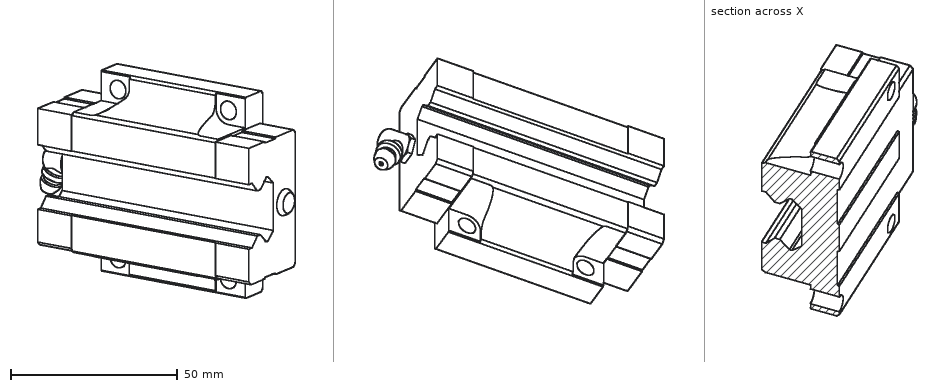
import cadquery as cq
import math


body_length = 52.2
flange_span = 63.0
flange_depth = 10.0
flange_chamfer = 0.9
flange_fillet_start = 27.7
flange_fillet_radius = 3.0
body_depth = 25.4
ramp_angle = 12.5
ramp_end_depth = 23.9
front_edge_height = 21.2

relief_depth = 0.5
relief_inner = 5.55
relief_outer = 19.0
relief_slope = 0.3

hole_diameter = 5.7
hole_spacing_x = 40.0
hole_spacing_z = 53.0
seat_depth = 9.5
seat_radius = 4.5

cap_length = 12.2
cap_height = 43.0
cap_back_depth = 0.5
cap_front_depth = 25.7
cap_back_chamfer = 1.1
cap_front_chamfer = 1.2
cap_groove_start = 11.2
cap_groove_end = 17.2
cap_groove_depth = 0.45
cap_groove_slope = 0.3

channel_floor_depth = 12.4
channel_floor_half = 7.4
channel_half = 10.1
race_groove_start = 15.5
race_groove_end = 16.3
race_ridge_start = 19.4
race_ridge_end = 21.1
race_ridge_half = 7.1
channel_lip_depth = 24.0

port_depth = 6.5
hex_across_flats = 8.0
hex_length = 1.8
hex_chamfer_angle = 30
elbow_diameter = 8.0
elbow_length = 9.5
elbow_rounding = 2.4
nipple_offset = 4.5
nipple_tilt = 25
collar_radius = 7.0 / 2
collar_end = 3.6
ring_radius = 7.9 / 2
ring_start = 4.0
ring_end = 5.7
neck_radius = 5.5 / 2
neck_start = 6.2
neck_end = 7.4
tip_radius = 6.6 / 2
tip_start = 7.8
tip_barrel_end = 8.4
tip_shoulder = 9.9
tip_shoulder_radius = 2.9
tip_end = 11.3
tip_end_radius = 2.15
grease_hole_diameter = 1.3
grease_hole_depth = 0.9
plug_height = 1.6
plug_base_radius = 8.2 / 2
plug_mid_height = 0.9
plug_mid_radius = 3.8
plug_top_radius = 6.3 / 2

total_length = body_length + 2 * cap_length
cap_face = total_length / 2


def section(start_x):
    """Sketch across the travel axis; local x is depth and local y points down (-Z)."""
    plane = cq.Plane(origin=(start_x, 0, 0), xDir=(0, -1, 0), normal=(1, 0, 0))
    return cq.Workplane(plane)


def make_body():
    """Upper half of the flanged body, joined with its mirror image about Z = 0."""
    flange_half = flange_span / 2
    slope = math.radians(ramp_angle)
    turn = math.pi / 2 - slope

    def fillet_point(angle):
        depth = flange_depth + flange_fillet_radius * (1 - math.cos(angle))
        return depth, -(flange_fillet_start - flange_fillet_radius * math.sin(angle))

    ramp_start_depth, ramp_start = fillet_point(turn)
    ramp_end = ramp_start + (ramp_end_depth - ramp_start_depth) * math.tan(slope)
    half = (
        section(-body_length / 2)
        .moveTo(0, 0)
        .lineTo(0, -relief_inner + relief_slope)
        .lineTo(relief_depth, -relief_inner)
        .lineTo(relief_depth, -relief_outer)
        .lineTo(0, -relief_outer - relief_slope)
        .lineTo(0, -flange_half + flange_chamfer)
        .lineTo(flange_chamfer, -flange_half)
        .lineTo(flange_depth - flange_chamfer, -flange_half)
        .lineTo(flange_depth, -flange_half + flange_chamfer)
        .lineTo(flange_depth, -flange_fillet_start)
        .threePointArc(fillet_point(turn / 2), (ramp_start_depth, ramp_start))
        .lineTo(ramp_end_depth, ramp_end)
        .lineTo(body_depth, -front_edge_height)
        .lineTo(body_depth, 0)
        .close()
        .extrude(body_length)
    )
    return half.union(half.mirror("XY"))


def make_seat_cutter(side_x, side_z):
    """Space in front of one bolt seat, open to the body end and to the flange edge."""
    hole_x = side_x * hole_spacing_x / 2
    hole_z = side_z * hole_spacing_z / 2
    reach = body_length / 2
    face = cq.Workplane("XZ", origin=(hole_x, -seat_depth, hole_z))

    def block(inner_x, inner_z):
        return (
            face.moveTo(side_x * inner_x, side_z * inner_z)
            .lineTo(side_x * reach, side_z * inner_z)
            .lineTo(side_x * reach, side_z * reach)
            .lineTo(side_x * inner_x, side_z * reach)
            .close()
            .extrude(body_depth)
        )

    corner = face.circle(seat_radius).extrude(body_depth)
    return block(0, -seat_radius).union(block(-seat_radius, 0)).union(corner)


def make_cap(start_x):
    """End cap with a shallow groove in its top and bottom faces."""
    top = cap_height / 2
    groove_top = top - cap_groove_depth

    def groove_side(sign):
        return [
            (cap_groove_start, sign * top),
            (cap_groove_start + cap_groove_slope, sign * groove_top),
            (cap_groove_end - cap_groove_slope, sign * groove_top),
            (cap_groove_end, sign * top),
        ]

    outline = [
        (cap_back_depth, -top + cap_back_chamfer),
        (cap_back_depth + cap_back_chamfer, -top),
        *groove_side(-1),
        (cap_front_depth, -top),
        (cap_front_depth, top - cap_front_chamfer),
        (cap_front_depth - cap_front_chamfer, top),
        *reversed(groove_side(1)),
        (cap_back_depth + cap_back_chamfer, top),
        (cap_back_depth, top - cap_back_chamfer),
    ]
    return section(start_x).polyline(outline).close().extrude(cap_length)


def make_channel():
    """Rail channel with a ball race ridge on each side, running the whole length."""
    upper = [
        (channel_floor_depth, channel_floor_half),
        (race_groove_start, channel_half),
        (race_groove_end, channel_half),
        (race_ridge_start, race_ridge_half),
        (race_ridge_end, race_ridge_half),
        (channel_lip_depth, channel_half),
        (cap_front_depth, channel_half),
    ]
    lower = [(depth, -height) for depth, height in reversed(upper)]
    return section(-cap_face).polyline(upper + lower).close().extrude(total_length)


def make_elbow():
    """Hexagon base and round-nosed elbow of the grease nipple."""
    plane = cq.Plane(origin=(-cap_face, -port_depth, 0), xDir=(0, 1, 0), normal=(-1, 0, 0))
    base = cq.Workplane(plane)
    across_corners = hex_across_flats / math.cos(math.pi / 6)
    chamfer_across = (across_corners - elbow_diameter) / 2
    chamfer_along = chamfer_across * math.tan(math.radians(hex_chamfer_angle))
    turned_blank = base.circle(across_corners / 2).extrude(hex_length)
    turned_blank = turned_blank.faces("<X").chamfer(chamfer_along, chamfer_across)
    hexagon = base.polygon(6, across_corners).extrude(hex_length).intersect(turned_blank)
    elbow = base.circle(elbow_diameter / 2).extrude(elbow_length)
    return hexagon.union(elbow.faces("<X").edges().fillet(elbow_rounding))


def make_nipple():
    """Turned nipple, tilted outwards from the -Z direction."""
    tilt = math.radians(nipple_tilt)
    origin = (-cap_face - nipple_offset, -port_depth, 0)
    across = (-math.cos(tilt), 0, math.sin(tilt))
    profile_plane = cq.Plane(origin=origin, xDir=across, normal=(0, -1, 0))
    turned = (
        cq.Workplane(profile_plane)
        .lineTo(collar_radius, 0)
        .lineTo(collar_radius, collar_end)
        .lineTo(ring_radius, ring_start)
        .lineTo(ring_radius, ring_end)
        .lineTo(neck_radius, neck_start)
        .lineTo(neck_radius, neck_end)
        .lineTo(tip_radius, tip_start)
        .lineTo(tip_radius, tip_barrel_end)
        .tangentArcPoint((tip_shoulder_radius, tip_shoulder), relative=False)
        .lineTo(tip_end_radius, tip_end)
        .lineTo(0, tip_end)
        .close()
        .revolve(360, (0, 0, 0), (0, 1, 0))
    )
    end_center = profile_plane.toWorldCoords((0, tip_end))
    end_plane = cq.Plane(origin=end_center, normal=-profile_plane.yDir)
    grease_hole = cq.Workplane(end_plane).circle(grease_hole_diameter / 2).extrude(grease_hole_depth)
    return turned.cut(grease_hole)


def make_plug():
    """Domed plug with a flat top, on the +X cap."""
    return (
        cq.Workplane("XY", origin=(cap_face, -port_depth, 0))
        .lineTo(0, plug_base_radius)
        .threePointArc((plug_mid_height, plug_mid_radius), (plug_height, plug_top_radius))
        .lineTo(plug_height, 0)
        .close()
        .revolve(360, (0, 0, 0), (1, 0, 0))
    )


body = make_body()
for side_x in (-1, 1):
    for side_z in (-1, 1):
        body = body.cut(make_seat_cutter(side_x, side_z))
holes = (
    cq.Workplane("XZ")
    .rarray(hole_spacing_x, hole_spacing_z, 2, 2)
    .circle(hole_diameter / 2)
    .extrude(flange_depth)
)
body = body.cut(holes)

carriage = body.union(make_cap(-cap_face)).union(make_cap(body_length / 2))
carriage = carriage.cut(make_channel())
result = carriage.union(make_elbow()).union(make_nipple()).union(make_plug())